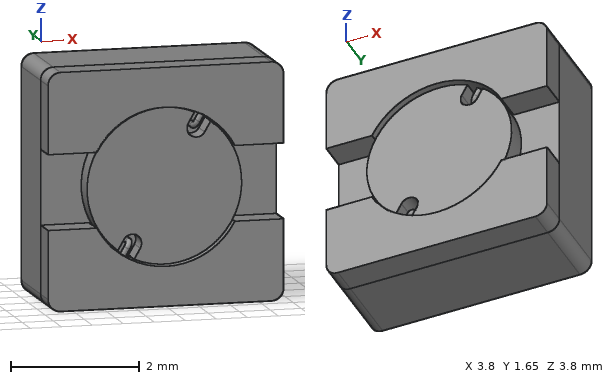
import cadquery as cq

SIDE = 3.8
DEPTH = 1.65
CORNER_RADIUS = 0.2

PAD_THICKNESS = 0.455
CHANNEL_WIDTH = 1.205
PAD_BORE_RADIUS = 1.265

BOSS_RADIUS = 1.245
BOSS_HEIGHT = 0.36

SLOT_WIDTH = 0.305
SLOT_END_CENTER = 1.037
SLOT_ANGLES = (60.0, 240.0)

WIRE_RADIUS = 0.05
WIRE_BEND_RADIUS = 0.1
WIRE_LEG_HEIGHT = 0.13
WIRE_BEND_END = SLOT_END_CENTER + WIRE_BEND_RADIUS

FRONT_Y = -DEPTH / 2
FLOOR_Y = FRONT_Y + PAD_THICKNESS


def front_plane(y):
    """Plane facing -Y at the given Y, with local x along X and local y along Z."""
    return cq.Workplane(cq.Plane(origin=(0, y, 0), xDir=(1, 0, 0), normal=(0, -1, 0)))


def turned(shape, angle):
    """Turn a shape about the boss axis, from +X toward +Z."""
    return shape.rotate((0, 0, 0), (0, -1, 0), angle)


def rounded_block(y, thickness):
    """Square block from y toward -Y, with its four Y-direction edges rounded."""
    return front_plane(y).rect(SIDE, SIDE).extrude(thickness).edges("|Y").fillet(CORNER_RADIUS)


def make_slot():
    """Cutter for a slot along +X, round at its inner end and open at the boss rim."""
    straight_length = PAD_BORE_RADIUS - SLOT_END_CENTER
    straight = (
        front_plane(FLOOR_Y)
        .center(SLOT_END_CENTER + straight_length / 2, 0)
        .rect(straight_length, SLOT_WIDTH)
        .extrude(BOSS_HEIGHT)
    )
    round_end = front_plane(FLOOR_Y).center(SLOT_END_CENTER, 0).circle(SLOT_WIDTH / 2).extrude(BOSS_HEIGHT)
    return straight.union(round_end)


def make_core():
    """Core block and its slotted boss, as one solid."""
    block = rounded_block(DEPTH / 2, DEPTH - PAD_THICKNESS)
    boss = front_plane(FLOOR_Y).circle(BOSS_RADIUS).extrude(BOSS_HEIGHT)
    for angle in SLOT_ANGLES:
        boss = boss.cut(turned(make_slot(), angle))
    return block.union(boss)


def make_pad(angle):
    """Terminal pad on one side of the channel; 0 gives the +Z pad, 180 the -Z pad."""
    pad_height = (SIDE - CHANNEL_WIDTH) / 2
    pad_region = (
        front_plane(FLOOR_Y)
        .center(0, (CHANNEL_WIDTH + pad_height) / 2)
        .rect(SIDE, pad_height)
        .extrude(PAD_THICKNESS)
    )
    bore = front_plane(FLOOR_Y).circle(PAD_BORE_RADIUS).extrude(PAD_THICKNESS)
    pad = rounded_block(FLOOR_Y, PAD_THICKNESS).intersect(pad_region).cut(bore)
    return turned(pad, angle)


def make_wire(angle):
    """Wire end with a straight leg and a quarter bend, trimmed to the bore so that it meets the pad wall."""
    bend_start_y = FLOOR_Y - WIRE_LEG_HEIGHT
    straight_y = bend_start_y - WIRE_BEND_RADIUS
    leg = front_plane(FLOOR_Y).center(SLOT_END_CENTER, 0).circle(WIRE_RADIUS).extrude(WIRE_LEG_HEIGHT)
    bend = (
        front_plane(bend_start_y)
        .center(SLOT_END_CENTER, 0)
        .circle(WIRE_RADIUS)
        .revolve(90, (WIRE_BEND_RADIUS, 0, 0), (WIRE_BEND_RADIUS, 1, 0))
    )
    straight = (
        cq.Workplane("YZ", origin=(WIRE_BEND_END, 0, 0))
        .center(straight_y, 0)
        .circle(WIRE_RADIUS)
        .extrude(PAD_BORE_RADIUS - WIRE_BEND_END)
    )
    bore = front_plane(FLOOR_Y).circle(PAD_BORE_RADIUS).extrude(PAD_THICKNESS)
    wire = leg.union(bend).union(straight).intersect(bore)
    return turned(wire, angle)


core = make_core()
pads = [make_pad(angle) for angle in (0, 180)]
wires = [make_wire(angle) for angle in SLOT_ANGLES]

result = cq.Compound.makeCompound([
    core.solids().val(),
    *[pad.solids().val() for pad in pads],
    *[wire.solids().val() for wire in wires],
])